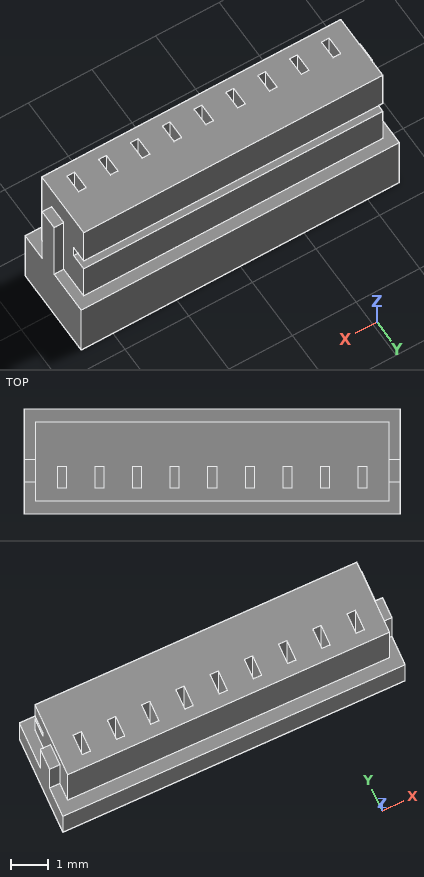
import cadquery as cq

length = 10.0
depth = 2.8
height = 5.0

base_height = 1.94

end_inset = 0.3
side_inset = 0.35
body_length = length - 2 * end_inset
body_depth = depth - 2 * side_inset
body_height = height - base_height

rib_width = 0.6
rib_center_y = -0.25
rib_top = 4.2
rib_height = rib_top - base_height

groove_depth = 0.5
groove_height = 0.38
groove_bottom = 3.25

slot_count = 9
slot_pitch = 1.0
slot_length = 0.58
slot_width = 0.24
slot_center_y = -0.42
slot_depth = body_height


def block(size_x, size_y, size_z, center_y, bottom):
    """Rectangular block centered on X, standing at the given bottom height."""
    return (
        cq.Workplane("XY", origin=(0, center_y, bottom))
        .box(size_x, size_y, size_z, centered=(True, True, False))
    )


def make_housing():
    base = block(length, depth, base_height, 0, 0)
    body = block(body_length, body_depth, body_height, 0, base_height)
    ribs = block(length, rib_width, rib_height, rib_center_y, base_height)
    return base.union(body).union(ribs)


def make_groove():
    center_y = (body_depth - groove_depth) / 2
    return block(body_length, groove_depth, groove_height, center_y, groove_bottom)


def make_slots():
    return (
        cq.Workplane("XY", origin=(0, slot_center_y, height))
        .rarray(slot_pitch, slot_pitch, slot_count, 1)
        .rect(slot_width, slot_length)
        .extrude(-slot_depth)
    )


result = make_housing().cut(make_groove()).cut(make_slots())